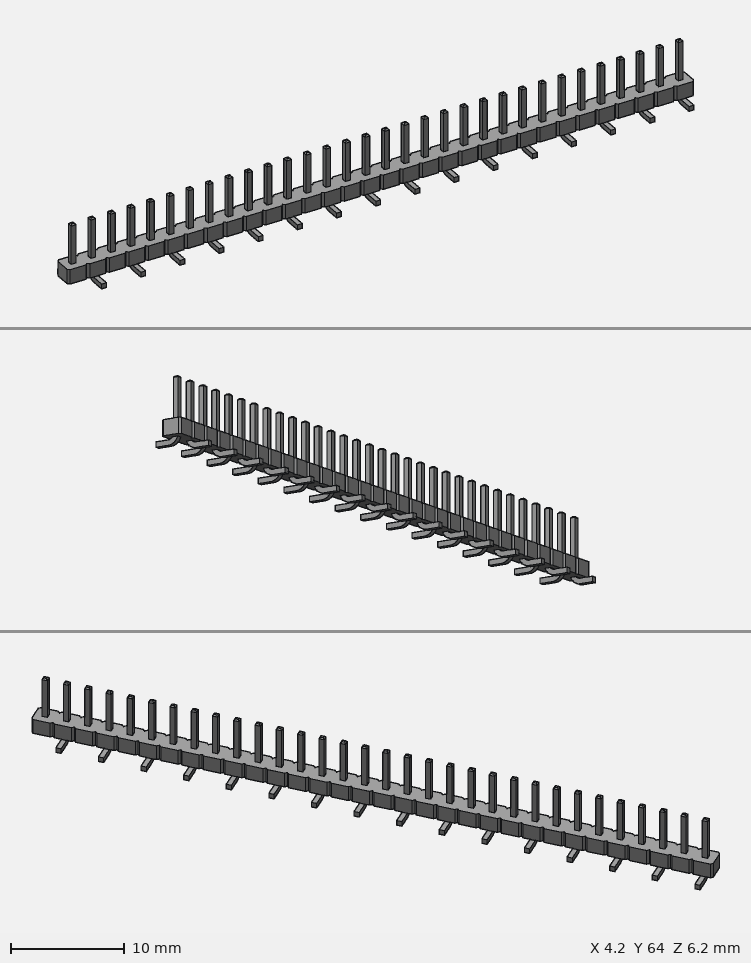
import cadquery as cq

pin_count = 32
row_length = 64.0
pitch = row_length / pin_count
first_pin_y = -(row_length - pitch) / 2

housing_width = pitch
housing_height = 1.5
housing_bottom = 0.7
corner_chamfer = 0.2

overall_height = 6.2
tail_span = 4.2
pin_size = 0.5
tip_chamfer = 0.1
bend_inner_radius = 0.5
bend_outer_radius = bend_inner_radius + pin_size


def make_housing_cell(y):
    """One housing segment; its chamfered corners form V-grooves with its neighbours."""
    return (
        cq.Workplane("XY", origin=(0, y, housing_bottom))
        .rect(housing_width, pitch)
        .extrude(housing_height)
        .edges("|Z")
        .chamfer(corner_chamfer)
    )


def make_pin(y, side):
    """Square pin bent into a flat tail; side is +1 for a tail toward +X, -1 toward -X."""
    half = pin_size / 2
    tail_end = side * tail_span / 2
    inner_face = side * half
    outer_face = -side * half
    bend_x = side * (half + bend_inner_radius)
    bend_z = bend_outer_radius
    return (
        cq.Workplane("XZ", origin=(0, y, 0))
        .moveTo(tail_end, 0)
        .lineTo(bend_x, 0)
        .radiusArc((outer_face, bend_z), side * bend_outer_radius)
        .lineTo(outer_face, overall_height)
        .lineTo(inner_face, overall_height)
        .lineTo(inner_face, bend_z)
        .radiusArc((bend_x, pin_size), -side * bend_inner_radius)
        .lineTo(tail_end, pin_size)
        .close()
        .extrude(half, both=True)
        .faces(">Z")
        .chamfer(tip_chamfer)
    )


result = make_housing_cell(first_pin_y)
for index in range(1, pin_count):
    result = result.union(make_housing_cell(first_pin_y + index * pitch))

for index in range(pin_count):
    tail_side = -1 if index % 2 == 0 else 1
    result = result.union(make_pin(first_pin_y + index * pitch, tail_side))
result = result.clean()